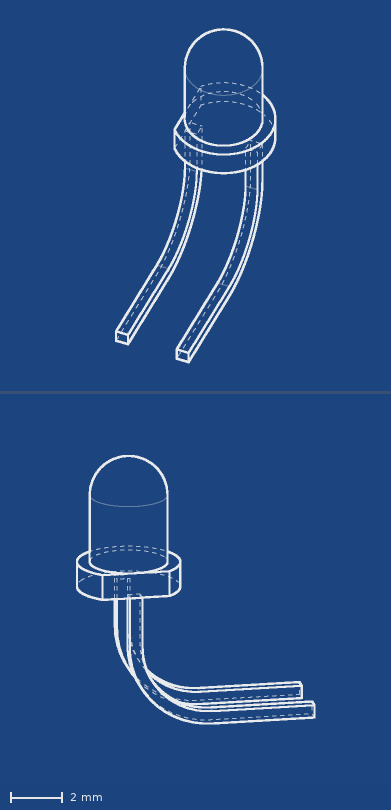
import cadquery as cq
import math

lens_radius = 1.5
lens_straight_height = 2.7
flange_radius = 2.0
flange_height = 1.0
flat_distance = lens_radius

lead_width = 0.5
lead_pitch = 2.54
lead_drop = 2.0
lead_bend_radius = 3.0
lead_tail = 4.0


def make_housing():
    """Flange with one flat, and the domed lens revolved on top of it."""
    flat_half_length = math.sqrt(flange_radius**2 - flat_distance**2)
    flange = (
        cq.Workplane("XY")
        .moveTo(-flat_distance, -flat_half_length)
        .threePointArc((flange_radius, 0), (-flat_distance, flat_half_length))
        .close()
        .extrude(flange_height)
    )

    dome_base = flange_height + lens_straight_height
    dome_mid = lens_radius * math.sqrt(0.5)
    lens = (
        cq.Workplane("XZ")
        .moveTo(0, flange_height)
        .lineTo(lens_radius, flange_height)
        .lineTo(lens_radius, dome_base)
        .threePointArc((dome_mid, dome_base + dome_mid), (0, dome_base + lens_radius))
        .close()
        .revolve(360, (0, 0), (0, 1))
    )
    return flange.union(lens).solids()


def make_lead(x_centre):
    """One bent lead: straight drop, quarter-circle bend, straight tail."""
    bend_mid = lead_bend_radius * math.sqrt(0.5)
    bend_end_z = -lead_drop - lead_bend_radius
    centre_line = (
        cq.Workplane("YZ", origin=(x_centre, 0, 0))
        .moveTo(0, 0)
        .lineTo(0, -lead_drop)
        .threePointArc((bend_mid - lead_bend_radius, -lead_drop - bend_mid), (-lead_bend_radius, bend_end_z))
        .lineTo(-lead_bend_radius - lead_tail, bend_end_z)
    )
    return (
        cq.Workplane("XY", origin=(x_centre, 0, 0))
        .rect(lead_width, lead_width)
        .sweep(centre_line)
    )


housing = make_housing()
leads = [make_lead(side * lead_pitch / 2) for side in (-1, 1)]

result = cq.Compound.makeCompound([housing.val(), *[lead.val() for lead in leads]])